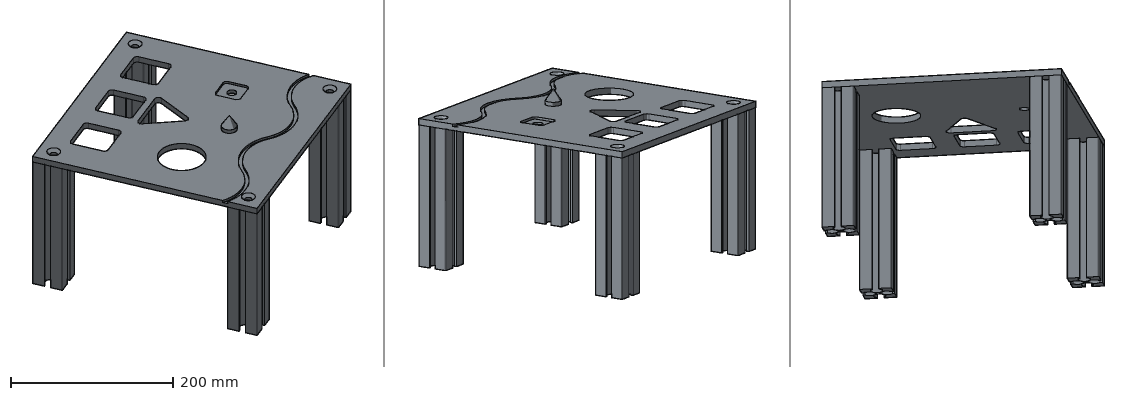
import cadquery as cq
import math

PLATE_SIDE = 300.0
PLATE_THICKNESS = 8.0

LEG_SIDE = 40.0
LEG_HEIGHT = 180.0
LEG_EDGE_RADIUS = 1.0
LEG_BORE_DIAMETER = 6.0
SLOT_OPENING = 8.5
SLOT_LIP = 3.0
SLOT_CHANNEL_RADIUS = 7.5

SCREW_HOLE_DIAMETER = 9.0
COUNTERSINK_DIAMETER = 17.0
COUNTERSINK_ANGLE = 90.0

WINDOW_SIDE = 50.0
WINDOW_RADIUS = 5.0
WINDOW_X = -94.8
WINDOW_PITCH = 80.0

TRIANGLE_SIDE = 70.2
TRIANGLE_RADIUS = 5.0
TRIANGLE_BASE_X = -60.5

ROUND_WINDOW_DIAMETER = 60.0
ROUND_WINDOW_X = 20.0
POCKET_SIDE = 33.5
POCKET_RADIUS = 5.0
POCKET_DEPTH = 3.0
POCKET_HOLE_DIAMETER = 12.0

WAVE_X = 102.0
WAVE_RADIUS = 55.2
WAVE_ARCS_PER_SIDE = 2
GROOVE_WIDTH = 5.0
GROOVE_DEPTH = 3.0

PIN_X = 50.0
PIN_DIAMETER = 19.8
PIN_COLLAR_HEIGHT = 5.0
PIN_CONE_HEIGHT = 14.7

PLATE_TOP = LEG_HEIGHT + PLATE_THICKNESS
LEG_OFFSET = (PLATE_SIDE - LEG_SIDE) / 2
LEG_CENTRES = [(x, y) for x in (-LEG_OFFSET, LEG_OFFSET) for y in (-LEG_OFFSET, LEG_OFFSET)]


def plate_prism(sketch):
    """Prism through the full plate thickness, on an outline drawn by `sketch`."""
    return sketch(cq.Workplane("XY", origin=(0, 0, LEG_HEIGHT))).extrude(PLATE_THICKNESS)


def square_windows():
    centres = [(WINDOW_X, row * WINDOW_PITCH) for row in (-1, 0, 1)]
    windows = plate_prism(lambda base: base.pushPoints(centres).rect(WINDOW_SIDE, WINDOW_SIDE))
    return windows.edges("|Z").fillet(WINDOW_RADIUS)


def triangular_window():
    half_base = TRIANGLE_SIDE / 2
    tip_x = TRIANGLE_BASE_X + TRIANGLE_SIDE * math.sin(math.radians(60))
    corners = [(TRIANGLE_BASE_X, -half_base), (tip_x, 0), (TRIANGLE_BASE_X, half_base)]
    window = plate_prism(lambda base: base.polyline(corners).close())
    return window.edges("|Z").fillet(TRIANGLE_RADIUS)


def round_window():
    centre = (ROUND_WINDOW_X, -WINDOW_PITCH)
    return plate_prism(lambda base: base.pushPoints([centre]).circle(ROUND_WINDOW_DIAMETER / 2))


def pocket_with_hole():
    floor = cq.Workplane("XY", origin=(ROUND_WINDOW_X, WINDOW_PITCH, PLATE_TOP - POCKET_DEPTH))
    pocket = floor.rect(POCKET_SIDE, POCKET_SIDE).extrude(POCKET_DEPTH).edges("|Z").fillet(POCKET_RADIUS)
    return pocket.union(floor.circle(POCKET_HOLE_DIAMETER / 2).extrude(POCKET_DEPTH - PLATE_THICKNESS))


def wave_arcs(offset):
    """Start, middle and end of each arc of the wave line, shifted sideways toward +X by `offset`."""
    diagonal = math.sqrt(0.5)
    half_pitch = WAVE_RADIUS * diagonal
    arcs = []
    for index in range(-WAVE_ARCS_PER_SIDE, WAVE_ARCS_PER_SIDE):
        side = 1 if index % 2 == 0 else -1
        radius = WAVE_RADIUS + side * offset
        centre_x = WAVE_X - side * half_pitch
        centre_y = (2 * index + 1) * half_pitch
        half_span = radius * diagonal
        end_x = centre_x + side * half_span
        start = (end_x, centre_y - half_span)
        middle = (centre_x + side * radius, centre_y)
        end = (end_x, centre_y + half_span)
        arcs.append((start, middle, end))
    return arcs


def wavy_groove():
    left_arcs = wave_arcs(-GROOVE_WIDTH / 2)
    right_arcs = wave_arcs(GROOVE_WIDTH / 2)
    outline = cq.Workplane("XY", origin=(0, 0, PLATE_TOP - GROOVE_DEPTH)).moveTo(*left_arcs[0][0])
    for _, middle, end in left_arcs:
        outline = outline.threePointArc(middle, end)
    outline = outline.lineTo(*right_arcs[-1][2])
    for start, middle, _ in reversed(right_arcs):
        outline = outline.threePointArc(middle, start)
    return outline.close().extrude(GROOVE_DEPTH)


def make_plate():
    plate = plate_prism(lambda base: base.rect(PLATE_SIDE, PLATE_SIDE))
    for cutter in (square_windows(), triangular_window(), round_window(), pocket_with_hole(), wavy_groove()):
        plate = plate.cut(cutter)
    return (
        cq.Workplane(plate.val())
        .copyWorkplane(cq.Workplane("XY", origin=(0, 0, PLATE_TOP)))
        .pushPoints(LEG_CENTRES)
        .cskHole(SCREW_HOLE_DIAMETER, COUNTERSINK_DIAMETER, COUNTERSINK_ANGLE)
    )


def leg_slots():
    """Four slots, each a narrow opening that leads into a round channel."""
    half_side = LEG_SIDE / 2
    half_opening = SLOT_OPENING / 2
    lip_inside = half_side - SLOT_LIP
    channel_centre = lip_inside - math.sqrt(SLOT_CHANNEL_RADIUS**2 - half_opening**2)
    channel_bottom = channel_centre - SLOT_CHANNEL_RADIUS
    slot = (
        cq.Workplane("XY")
        .moveTo(half_side, -half_opening)
        .lineTo(half_side, half_opening)
        .lineTo(lip_inside, half_opening)
        .threePointArc((channel_bottom, 0), (lip_inside, -half_opening))
        .close()
        .extrude(LEG_HEIGHT)
    )
    return [slot.rotate((0, 0, 0), (0, 0, 1), angle) for angle in (0, 90, 180, 270)]


def make_leg(x, y):
    leg = cq.Workplane("XY").rect(LEG_SIDE, LEG_SIDE).extrude(LEG_HEIGHT)
    leg = leg.edges("|Z").fillet(LEG_EDGE_RADIUS)
    leg = leg.faces(">Z").workplane().hole(LEG_BORE_DIAMETER)
    for slot in leg_slots():
        leg = leg.cut(slot)
    return leg.translate((x, y, 0))


def make_pin():
    radius = PIN_DIAMETER / 2
    tip_height = PIN_COLLAR_HEIGHT + PIN_CONE_HEIGHT
    half_section = [(0, 0), (radius, 0), (radius, PIN_COLLAR_HEIGHT), (0, tip_height)]
    pin = cq.Workplane("XZ").polyline(half_section).close().revolve(360, (0, 0), (0, 1))
    return pin.translate((PIN_X, 0, PLATE_TOP))


plate = make_plate()
legs = [make_leg(x, y) for x, y in LEG_CENTRES]
pin = make_pin()

result = cq.Compound.makeCompound([plate.val(), *[leg.val() for leg in legs], pin.val()])